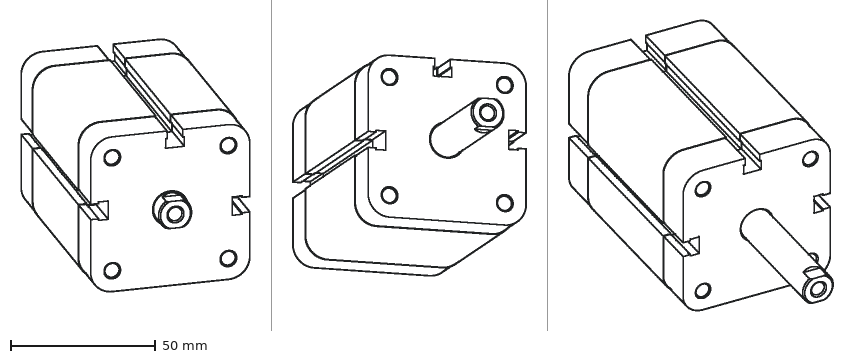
import cadquery as cq
import math


total_length = 139.0
rod_front_reach = 46.5
rod_rear_reach = 6.4
cap_length = 14.7
barrel_length = total_length - rod_front_reach - rod_rear_reach - 2 * cap_length

rod_start = -total_length / 2
front_cap_start = rod_start + rod_front_reach
barrel_start = front_cap_start + cap_length
rear_cap_start = barrel_start + barrel_length

barrel_width = 58.0
cap_width = 57.5
bolt_spacing = 42.0
bolt_diameter = 5.1
bolt_chamfer = 0.4

slot_offset = 1.7
slot_depth = 6.5
slot_lip = 3.0
barrel_slot_mouth = 5.3
cap_slot_mouth = 5.7
slot_undercut = 0.5

rod_diameter = 12.0
bore_chamfer = 0.4
rod_chamfer = 0.5
flat_spacing = 10.0
flat_length = 5.1
flat_runout_angle = 60.0
thread_diameter = 5.0
thread_depth = 13.9
thread_chamfer = 0.5
drill_point_angle = 118.0


def slot_cutter(length, width, mouth_width):
    """T-slot prism in the top face, starting at X = 0."""
    top = width / 2
    floor = barrel_width / 2 - slot_depth
    lip_bottom = barrel_width / 2 - slot_lip
    neck_height = top - floor
    inner_height = lip_bottom - floor
    inner_width = mouth_width + 2 * slot_undercut
    neck = cq.Workplane("XY").box(length, mouth_width, neck_height, centered=(False, True, False))
    inner = cq.Workplane("XY").box(length, inner_width, inner_height, centered=(False, True, False))
    return neck.union(inner).translate((0, slot_offset, floor))


def make_section(start, length, width, mouth_width):
    """Slotted square block with bolt holes and a bore that fits the rod."""
    corner_radius = (width - bolt_spacing) / 2
    block = cq.Workplane("YZ").rect(width, width).extrude(length).edges("|X").fillet(corner_radius)
    bolt_holes = cq.Workplane("YZ").rect(bolt_spacing, bolt_spacing, forConstruction=True)
    block = block.cut(bolt_holes.vertices().circle(bolt_diameter / 2).extrude(length))
    bore = cq.Workplane("YZ").circle(rod_diameter / 2).extrude(length)
    block = block.cut(bore)
    cutter = slot_cutter(length, width, mouth_width)
    for angle in (-90, 0, 90):
        block = block.cut(cutter.rotate((0, 0, 0), (1, 0, 0), angle))
    return block.translate((start, 0, 0))


def make_cap(start, outer_face):
    """End cap whose bolt holes and rod bore are chamfered on the outer face."""
    cap = make_section(start, cap_length, cap_width, cap_slot_mouth)
    bolt_rims = cq.selectors.RadiusNthSelector(0)
    bore_rim = cq.selectors.RadiusNthSelector(1)
    cap = cap.faces(outer_face).edges("%CIRCLE").edges(bolt_rims).chamfer(bolt_chamfer)
    return cap.faces(outer_face).edges("%CIRCLE").edges(bore_rim).chamfer(bore_chamfer)


def flat_cutter():
    """Cutter for the upper wrench flat, with a sloped run-out, at a rod end on X = 0."""
    flat_height = flat_spacing / 2
    clear_height = rod_diameter
    runout = (clear_height - flat_height) / math.tan(math.radians(flat_runout_angle))
    outline = [
        (0, flat_height),
        (flat_length, flat_height),
        (flat_length + runout, clear_height),
        (0, clear_height),
    ]
    return cq.Workplane("XZ").polyline(outline).close().extrude(rod_diameter / 2, both=True)


def thread_cutter():
    """Chamfered blind hole with a conical bottom, at a rod end on X = 0."""
    radius = thread_diameter / 2
    point_depth = radius / math.tan(math.radians(drill_point_angle / 2))
    profile = [
        (0, 0),
        (0, radius + thread_chamfer),
        (thread_chamfer, radius),
        (thread_depth, radius),
        (thread_depth + point_depth, 0),
    ]
    return cq.Workplane("XY").polyline(profile).close().revolve(360, (0, 0, 0), (1, 0, 0))


def make_rod():
    """Through rod with two wrench flats and a threaded hole at each end."""
    rod = cq.Workplane("YZ").circle(rod_diameter / 2).extrude(total_length)
    rod = rod.faces("<X or >X").chamfer(rod_chamfer).translate((rod_start, 0, 0))
    upper_flat = flat_cutter()
    lower_flat = upper_flat.mirror("XY")
    for cutter in (upper_flat, lower_flat, thread_cutter()):
        front_cutter = cutter.translate((rod_start, 0, 0))
        rod = rod.cut(front_cutter).cut(front_cutter.mirror("YZ"))
    return rod


front_cap = make_cap(front_cap_start, "<X")
rear_cap = make_cap(rear_cap_start, ">X")
barrel = make_section(barrel_start, barrel_length, barrel_width, barrel_slot_mouth)
piston_rod = make_rod()

result = cq.Compound.makeCompound([front_cap.val(), barrel.val(), rear_cap.val(), piston_rod.val()])